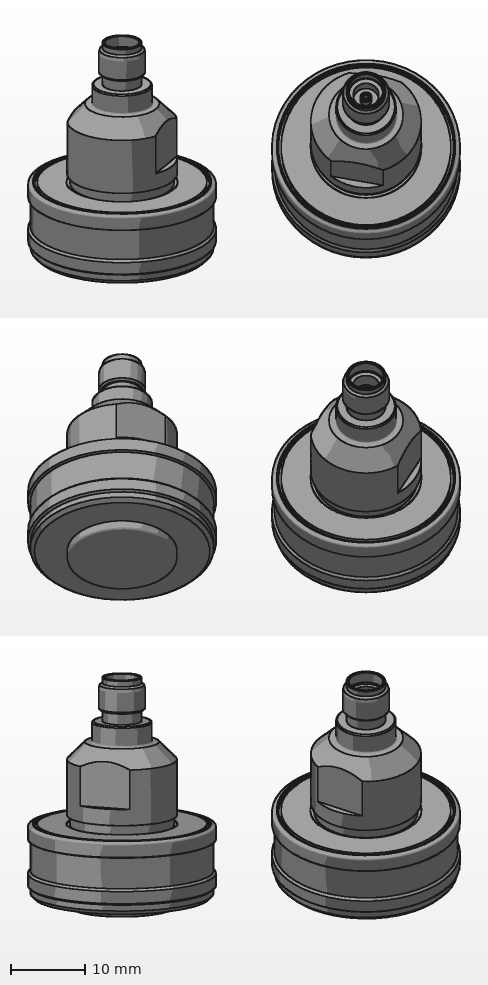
import cadquery as cq
import math


height = 31.63

plug_radius = 7.4
plug_round = 0.47

nut_diameter = 25.4
nut_radius = nut_diameter / 2
nut_waist_radius = 12.37
nut_bottom_z = 1.35
nut_bottom_chamfer = 0.55
lower_band_bottom_z = 2.72
lower_band_top_z = 4.97
upper_band_bottom_z = 9.17
nut_top_z = 11.42
nut_top_round = 0.32
nut_crown_radius = 12.05
nut_crown_rise = 0.13
band_step = nut_radius - nut_waist_radius
lower_band_slope = 0.25
upper_band_slope = 0.15

ring_groove_outer_radius = 11.8
ring_groove_inner_radius = 11.45
ring_groove_depth = 0.47
ring_groove_chamfer = 0.1
neck_recess_radius = 7.5
neck_recess_depth = 0.2

neck_radius = 7.02
body_radius = 7.43
body_bottom_z = 12.62
shoulder_z = 22.7
shoulder_radius = 5.0
cone_bottom_z = shoulder_z - (body_radius - shoulder_radius)
flat_bottom_z = 14.87
flat_half_width = 6.5

collar_radius = 4.05
collar_top_z = 25.55
collar_chamfer = 0.2
collar_fillet = 0.25

tube_radius = 2.65
thread_radius = 3.15
thread_bottom_z = 27.08
thread_bottom_slope = 0.3
thread_round_bottom_z = 30.05
thread_round_top_z = 30.52
thread_round_top_radius = 3.05
thread_top_z = 30.78
rim_chamfer = 0.1

bore_radius = 2.3
bore_undercut_radius = 2.37
bore_undercut_depth = 1.6
bore_depth = 1.9
inner_bore_radius = 1.75
inner_bore_depth = 3.8
contact_radius = 0.75
contact_tip_depth = 2.53
contact_chamfer = 0.11
socket_radius = 0.35
socket_depth = 1.25
socket_chamfer = 0.15


def cylinder(radius, bottom_z, top_z):
    return cq.Workplane("XY").workplane(offset=bottom_z).circle(radius).extrude(top_z - bottom_z)


def make_plug():
    return cylinder(plug_radius, 0, nut_bottom_z).faces("<Z").edges().fillet(plug_round)


def make_nut():
    round_start_z = nut_top_z - nut_crown_rise - nut_top_round
    round_middle_offset = nut_top_round * (1 - math.sqrt(0.5))
    profile = (
        cq.Workplane("XZ")
        .moveTo(0, nut_bottom_z)
        .lineTo(nut_waist_radius - nut_bottom_chamfer, nut_bottom_z)
        .lineTo(nut_waist_radius, nut_bottom_z + nut_bottom_chamfer)
        .lineTo(nut_waist_radius, lower_band_bottom_z)
        .lineTo(nut_radius, lower_band_bottom_z + lower_band_slope)
        .lineTo(nut_radius, lower_band_top_z - band_step)
        .lineTo(nut_waist_radius, lower_band_top_z)
        .lineTo(nut_waist_radius, upper_band_bottom_z)
        .lineTo(nut_radius, upper_band_bottom_z + upper_band_slope)
        .lineTo(nut_radius, round_start_z)
        .threePointArc(
            (nut_radius - round_middle_offset, round_start_z + nut_top_round - round_middle_offset),
            (nut_radius - nut_top_round, round_start_z + nut_top_round),
        )
        .lineTo(nut_crown_radius, nut_top_z)
        .lineTo(ring_groove_outer_radius + ring_groove_chamfer, nut_top_z)
        .lineTo(ring_groove_outer_radius, nut_top_z - ring_groove_chamfer)
        .lineTo(ring_groove_outer_radius, nut_top_z - ring_groove_depth)
        .lineTo(ring_groove_inner_radius, nut_top_z - ring_groove_depth)
        .lineTo(ring_groove_inner_radius, nut_top_z)
        .lineTo(neck_recess_radius, nut_top_z)
        .lineTo(neck_recess_radius, nut_top_z - neck_recess_depth)
        .lineTo(0, nut_top_z - neck_recess_depth)
        .close()
    )
    return profile.revolve(360, (0, 0), (0, 1))


def make_body():
    neck = cylinder(neck_radius, nut_bottom_z, body_bottom_z)
    shoulder_chamfer = shoulder_z - cone_bottom_z
    barrel = cylinder(body_radius, body_bottom_z, shoulder_z).faces(">Z").chamfer(shoulder_chamfer)
    flat_depth = body_radius - flat_half_width
    for side in (-1, 1):
        flat_cut = (
            cq.Workplane("XY")
            .workplane(offset=flat_bottom_z)
            .center(side * (flat_half_width + flat_depth / 2), 0)
            .rect(flat_depth, 2 * body_radius)
            .extrude(shoulder_z - flat_bottom_z)
        )
        barrel = barrel.cut(flat_cut)
    return neck.union(barrel)


def make_collar():
    fillet_middle_offset = collar_fillet * (1 - math.sqrt(0.5))
    profile = (
        cq.Workplane("XZ")
        .moveTo(0, shoulder_z)
        .lineTo(collar_radius + collar_fillet, shoulder_z)
        .threePointArc(
            (collar_radius + fillet_middle_offset, shoulder_z + fillet_middle_offset),
            (collar_radius, shoulder_z + collar_fillet),
        )
        .lineTo(collar_radius, collar_top_z - collar_chamfer)
        .lineTo(collar_radius - collar_chamfer, collar_top_z)
        .lineTo(0, collar_top_z)
        .close()
    )
    return profile.revolve(360, (0, 0), (0, 1))


def make_connector():
    outside = (
        cq.Workplane("XZ")
        .moveTo(0, collar_top_z)
        .lineTo(tube_radius, collar_top_z)
        .lineTo(tube_radius, thread_bottom_z)
        .lineTo(thread_radius - thread_bottom_slope, thread_bottom_z)
        .lineTo(thread_radius, thread_bottom_z + thread_bottom_slope)
        .lineTo(thread_radius, thread_round_bottom_z)
        .lineTo(thread_round_top_radius, thread_round_top_z)
        .lineTo(tube_radius, thread_top_z)
        .lineTo(tube_radius, height - rim_chamfer)
        .lineTo(tube_radius - rim_chamfer, height)
        .lineTo(0, height)
        .close()
        .revolve(360, (0, 0), (0, 1))
    )
    floor_z = height - inner_bore_depth
    bore = (
        cq.Workplane("XZ")
        .moveTo(0, floor_z)
        .lineTo(inner_bore_radius, floor_z)
        .lineTo(inner_bore_radius, height - bore_depth)
        .lineTo(bore_undercut_radius, height - bore_depth)
        .lineTo(bore_undercut_radius, height - bore_undercut_depth)
        .lineTo(bore_radius, height - bore_undercut_depth)
        .lineTo(bore_radius, height - rim_chamfer)
        .lineTo(bore_radius + rim_chamfer, height)
        .lineTo(0, height)
        .close()
        .revolve(360, (0, 0), (0, 1))
    )
    tip_z = height - contact_tip_depth
    contact = cylinder(contact_radius, floor_z, tip_z).faces(">Z").chamfer(contact_chamfer)
    socket = cylinder(socket_radius, tip_z - socket_depth, tip_z)
    socket_mouth = cq.selectors.RadiusNthSelector(0)
    contact = contact.cut(socket).faces(">Z").edges(socket_mouth).chamfer(socket_chamfer)
    return outside.cut(bore).union(contact)


result = (
    make_plug()
    .union(make_nut())
    .union(make_body())
    .union(make_collar())
    .union(make_connector())
)